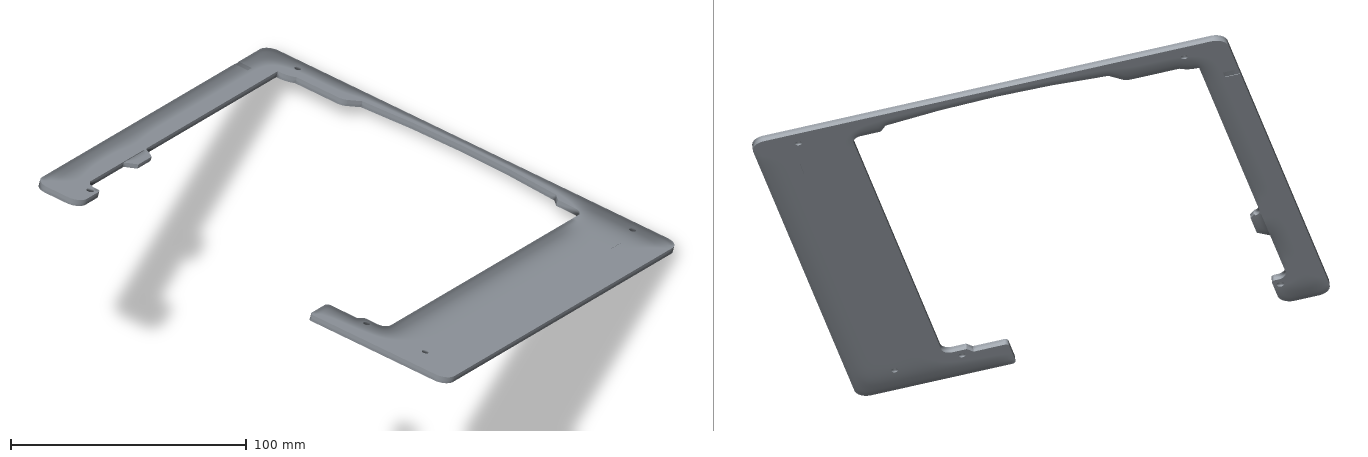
import cadquery as cq
import math

WIDTH = 208.0
LENGTH = 200.0
THICKNESS = 3.0
TILT_DEG = 25.0
CORNER_RADIUS = 6.0

OPENING_LEFT = 15.4
OPENING_RIGHT = 166.5
LEFT_FOOT_END = 22.7
RIGHT_FOOT_END = 138.5
FOOT_TOP = -182.2
RIGHT_FOOT_STEP = -185.1
STEP_START = 153.7
STEP_END = 156.0
INNER_RADIUS = 4.2
FOOT_CORNER_RADIUS = 1.7

HOLE_PAD_EDGE = -17.0
LEFT_RAIL_EDGE = -14.5
PAD_BLEND_MIDDLE = (20.0, -16.5)
PAD_BLEND_END = 23.5
RAMP_BLEND_START = 44.5
RAMP_BLEND_MIDDLE = (46.5, -14.1)
RAMP_START = (48.3, -13.0)
ARCH_LEFT = (53.0, -8.3)
ARCH_CROWN = (111.3, -5.5)
ARCH_RIGHT = (150.5, -8.3)
RIGHT_RAIL_EDGE = -11.9
RIGHT_RAIL_START = 153.5

HOLE_DIAMETER = 3.0
LEFT_FOOT_HOLE_DIAMETER = 3.3
LEFT_HOLE_U = 19.5
FOOT_HOLE_U = 159.0
RIGHT_HOLE_U = 188.5
BACK_HOLE_V = -7.0
FRONT_HOLE_V = -186.0

TAB_REACH = 5.0
TAB_BACK = -132.3
TAB_FRONT = -149.8
TAB_BACK_CHAMFER = 1.9
TAB_FRONT_CHAMFER = 4.2
TAB_RECESS = 0.5
TAB_WEB_SIZE = 2.7
TAB_ROOT_OVERLAP = 2.0

MARK_DEPTH = 0.2
MARK_V = -26.2
LEFT_MARK_LENGTH = 6.7
LEFT_MARK_WIDTH = 3.5
RIGHT_MARK_U = 191.4
RIGHT_MARK_LENGTH = 8.0
RIGHT_MARK_WIDTH = 0.1


def make_plate():
    """Flat C-shaped frame with its top face at z = 0."""
    outline = (
        cq.Workplane("XY")
        .moveTo(0, 0)
        .lineTo(WIDTH, 0)
        .lineTo(WIDTH, -LENGTH)
        .lineTo(RIGHT_FOOT_END, -LENGTH)
        .lineTo(RIGHT_FOOT_END, RIGHT_FOOT_STEP)
        .lineTo(STEP_START, RIGHT_FOOT_STEP)
        .lineTo(STEP_END, FOOT_TOP)
        .lineTo(OPENING_RIGHT, FOOT_TOP)
        .lineTo(OPENING_RIGHT, RIGHT_RAIL_EDGE)
        .lineTo(RIGHT_RAIL_START, RIGHT_RAIL_EDGE)
        .lineTo(*ARCH_RIGHT)
        .threePointArc(ARCH_CROWN, ARCH_LEFT)
        .lineTo(*RAMP_START)
        .threePointArc(RAMP_BLEND_MIDDLE, (RAMP_BLEND_START, LEFT_RAIL_EDGE))
        .lineTo(PAD_BLEND_END, LEFT_RAIL_EDGE)
        .threePointArc(PAD_BLEND_MIDDLE, (OPENING_LEFT, HOLE_PAD_EDGE))
        .lineTo(OPENING_LEFT, FOOT_TOP)
        .lineTo(LEFT_FOOT_END, FOOT_TOP)
        .lineTo(LEFT_FOOT_END, -LENGTH)
        .lineTo(0, -LENGTH)
        .close()
    )
    plate = outline.extrude(-THICKNESS)
    rounded_corners = [
        (0, 0, CORNER_RADIUS),
        (WIDTH, 0, CORNER_RADIUS),
        (0, -LENGTH, CORNER_RADIUS),
        (WIDTH, -LENGTH, CORNER_RADIUS),
        (LEFT_FOOT_END, -LENGTH, CORNER_RADIUS),
        (OPENING_LEFT, FOOT_TOP, INNER_RADIUS),
        (OPENING_RIGHT, FOOT_TOP, INNER_RADIUS),
        (OPENING_RIGHT, RIGHT_RAIL_EDGE, INNER_RADIUS),
        (LEFT_FOOT_END, FOOT_TOP, FOOT_CORNER_RADIUS),
        (RIGHT_FOOT_END, RIGHT_FOOT_STEP, FOOT_CORNER_RADIUS),
        (RIGHT_FOOT_END, -LENGTH, FOOT_CORNER_RADIUS),
    ]
    for u, v, radius in rounded_corners:
        corner = cq.selectors.NearestToPointSelector((u, v, -THICKNESS / 2))
        plate = plate.edges("|Z").edges(corner).fillet(radius)
    return plate


def make_tab():
    """Thin chamfered tab plus the full-thickness concave web behind it."""
    tip = OPENING_LEFT + TAB_REACH
    tab = (
        cq.Workplane("XY")
        .workplane(offset=-TAB_RECESS)
        .polyline([
            (OPENING_LEFT - TAB_ROOT_OVERLAP, TAB_BACK),
            (tip - TAB_BACK_CHAMFER, TAB_BACK),
            (tip, TAB_BACK - TAB_BACK_CHAMFER),
            (tip, TAB_FRONT + TAB_FRONT_CHAMFER),
            (OPENING_LEFT, TAB_FRONT),
            (OPENING_LEFT - TAB_ROOT_OVERLAP, TAB_FRONT),
        ])
        .close()
        .extrude(-(THICKNESS - 2 * TAB_RECESS))
    )
    web_center = (OPENING_LEFT + TAB_WEB_SIZE, TAB_BACK + TAB_WEB_SIZE)
    diagonal = TAB_WEB_SIZE * math.sqrt(0.5)
    web = (
        cq.Workplane("XY")
        .moveTo(OPENING_LEFT, TAB_BACK)
        .lineTo(OPENING_LEFT + TAB_WEB_SIZE, TAB_BACK)
        .threePointArc(
            (web_center[0] - diagonal, web_center[1] - diagonal),
            (OPENING_LEFT, TAB_BACK + TAB_WEB_SIZE),
        )
        .close()
        .extrude(-THICKNESS)
    )
    return tab.union(web)


def make_hole(u, v, diameter):
    return cq.Workplane("XY").center(u, v).circle(diameter / 2).extrude(-THICKNESS)


def make_mark(u, length_u, length_v):
    """Matching shallow recesses in the top and bottom faces."""
    profile = cq.Workplane("XY").center(u, MARK_V).rect(length_u, length_v)
    top_mark = profile.extrude(-MARK_DEPTH)
    return top_mark.union(top_mark.translate((0, 0, MARK_DEPTH - THICKNESS)))


frame = make_plate().union(make_tab())

holes = [
    (LEFT_HOLE_U, BACK_HOLE_V, HOLE_DIAMETER),
    (RIGHT_HOLE_U, BACK_HOLE_V, HOLE_DIAMETER),
    (LEFT_HOLE_U, FRONT_HOLE_V, LEFT_FOOT_HOLE_DIAMETER),
    (FOOT_HOLE_U, FRONT_HOLE_V, HOLE_DIAMETER),
    (RIGHT_HOLE_U, FRONT_HOLE_V, HOLE_DIAMETER),
]
for hole_u, hole_v, hole_diameter in holes:
    frame = frame.cut(make_hole(hole_u, hole_v, hole_diameter))

frame = frame.cut(make_mark(LEFT_MARK_LENGTH / 2, LEFT_MARK_LENGTH, LEFT_MARK_WIDTH))
frame = frame.cut(make_mark(RIGHT_MARK_U, RIGHT_MARK_WIDTH, RIGHT_MARK_LENGTH))

result = frame.rotate((0, 0, 0), (1, 0, 0), -TILT_DEG)